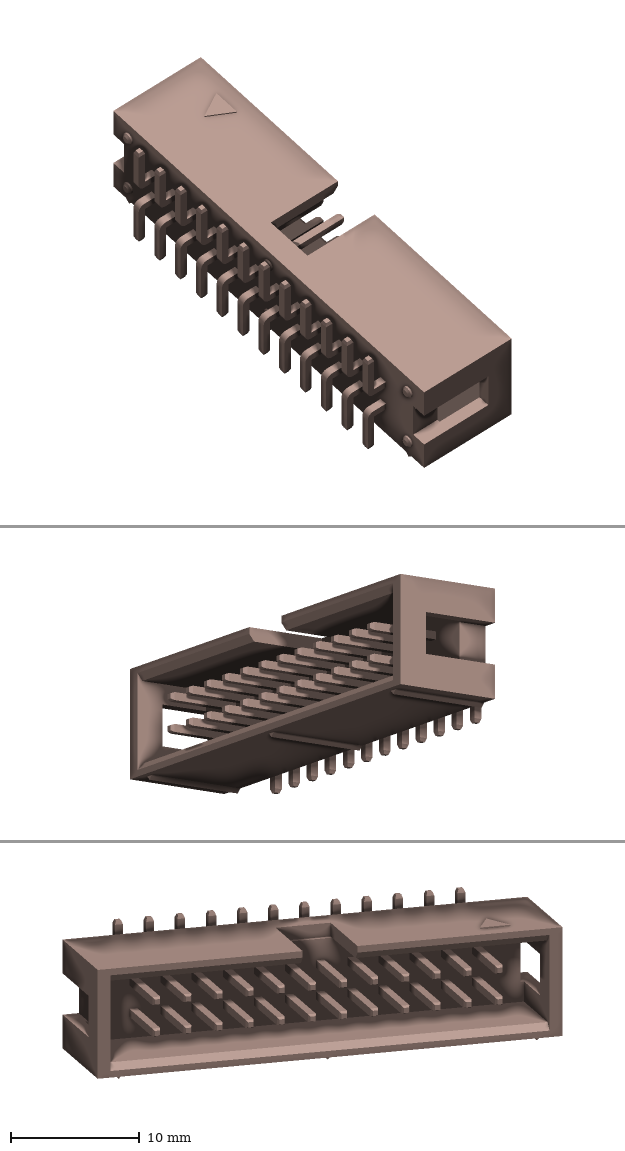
import cadquery as cq

LENGTH = 37.98
DEPTH = 8.8
HEIGHT = 8.8
END_WALL = 1.05
LONG_WALL = 1.1
FLOOR = 2.43
LEAD_IN_DEPTH = 0.45
LEAD_IN_RISE = 0.57

KEY_WIDTH = 4.5
KEY_UNDERCUT = 0.38
END_SLOT_HEIGHT = 3.35
END_SLOT_DEPTH = 1.33
END_SLOT_SETBACK = 2.35

PIN_COUNT = 12
PITCH = 2.55
PIN_SIZE = 0.65
PIN_TIP_LENGTH = 0.3
PIN_TIP_SIZE = 0.4
PIN_RECESS = 0.35
BEND_RADIUS = 0.6
LEG_REACH = 1.82
LEG_SPAN = 10.3

SUPPORT_SPACING = 17.1
PEG_Z = 2.9
PEG_DIAMETER = 1.0
PEG_HEIGHT = 0.35
PEG_CHAMFER = 0.2
RIB_WIDTH = 0.7
RIB_HEIGHT = 0.35
RIB_SETBACK = 0.57

MARK_WIDTH = 2.5
MARK_LENGTH = 2.25
MARK_SETBACK = 1.52
MARK_HEIGHT = 0.1

MOUTH_Y = DEPTH / 2
FRONT_Y = -DEPTH / 2
TOP_Z = HEIGHT / 2
CAVITY_DEPTH = DEPTH - FLOOR
CAVITY_HALF_HEIGHT = TOP_Z - LONG_WALL
FIRST_PIN_X = -(PIN_COUNT - 1) * PITCH / 2
SUPPORT_XS = (-SUPPORT_SPACING, 0, SUPPORT_SPACING)


def block(x_min, x_max, y_min, y_max, z_min, z_max):
    """Box between the given limits."""
    size = (x_max - x_min, y_max - y_min, z_max - z_min)
    return cq.Workplane("XY").box(*size, centered=False).translate((x_min, y_min, z_min))


def make_cavity():
    """Mating cavity with a lead-in chamfer along both long walls."""
    cavity_length = LENGTH - 2 * END_WALL
    floor_y = MOUTH_Y - CAVITY_DEPTH
    lead_in_y = MOUTH_Y - LEAD_IN_DEPTH
    mouth_half_height = CAVITY_HALF_HEIGHT + LEAD_IN_RISE
    profile = [
        (floor_y, -CAVITY_HALF_HEIGHT),
        (lead_in_y, -CAVITY_HALF_HEIGHT),
        (MOUTH_Y, -mouth_half_height),
        (MOUTH_Y, mouth_half_height),
        (lead_in_y, CAVITY_HALF_HEIGHT),
        (floor_y, CAVITY_HALF_HEIGHT),
    ]
    return cq.Workplane("YZ").polyline(profile).close().extrude(cavity_length / 2, both=True)


def make_housing():
    """Open box with a key slot in the top wall and a slot in each end."""
    housing = cq.Workplane("XY").box(LENGTH, DEPTH, HEIGHT).cut(make_cavity())
    key_y = MOUTH_Y - CAVITY_DEPTH - KEY_UNDERCUT
    key_slot = block(-KEY_WIDTH / 2, KEY_WIDTH / 2, key_y, MOUTH_Y, CAVITY_HALF_HEIGHT, TOP_Z)
    housing = housing.cut(key_slot)
    slot_half = END_SLOT_HEIGHT / 2
    slot_end_y = MOUTH_Y - END_SLOT_SETBACK
    for end_x in (-LENGTH / 2, LENGTH / 2 - END_SLOT_DEPTH):
        slot = block(end_x, end_x + END_SLOT_DEPTH, FRONT_Y, slot_end_y, -slot_half, slot_half)
        housing = housing.cut(slot)
    return housing


def square_bar(start, direction, length):
    """Square bar along a direction, tapered at its far end."""
    shaft_length = length - PIN_TIP_LENGTH
    plane = cq.Plane(origin=start, xDir=(1, 0, 0), normal=direction)
    shaft = cq.Workplane(plane).rect(PIN_SIZE, PIN_SIZE).extrude(shaft_length)
    tip = (
        cq.Workplane(plane)
        .workplane(offset=shaft_length)
        .rect(PIN_SIZE, PIN_SIZE)
        .workplane(offset=PIN_TIP_LENGTH)
        .rect(PIN_TIP_SIZE, PIN_TIP_SIZE)
        .loft(ruled=True)
    )
    return shaft.union(tip)


def make_upper_pin():
    """Pin of the upper row at X = 0, with its leg turned up."""
    row_z = PITCH / 2
    leg_y = FRONT_Y - LEG_REACH + PIN_SIZE / 2
    bend_outer_y = leg_y - PIN_SIZE / 2
    bend_bottom_z = row_z - PIN_SIZE / 2
    contact = square_bar((0, bend_outer_y + PIN_SIZE, row_z), (0, 1, 0),
                         MOUTH_Y - PIN_RECESS - bend_outer_y - PIN_SIZE)
    leg = square_bar((0, leg_y, bend_bottom_z + PIN_SIZE), (0, 0, 1),
                     LEG_SPAN / 2 - bend_bottom_z - PIN_SIZE)
    bend = block(-PIN_SIZE / 2, PIN_SIZE / 2, bend_outer_y, bend_outer_y + PIN_SIZE,
                 bend_bottom_z, bend_bottom_z + PIN_SIZE)
    bend = bend.edges("<Y and <Z").fillet(BEND_RADIUS)
    return contact.union(bend).union(leg)


def make_peg():
    """Standoff on the front face at X = 0, Z = 0."""
    peg = cq.Workplane("XZ", origin=(0, FRONT_Y, 0)).circle(PEG_DIAMETER / 2).extrude(PEG_HEIGHT)
    return peg.faces("<Y").chamfer(PEG_CHAMFER)


def make_rib():
    """V-shaped rib under the housing at X = 0."""
    profile = [
        (-RIB_WIDTH / 2, -TOP_Z),
        (0, -TOP_Z - RIB_HEIGHT),
        (RIB_WIDTH / 2, -TOP_Z),
    ]
    front = cq.Workplane("XZ", origin=(0, MOUTH_Y - RIB_SETBACK, 0))
    return front.polyline(profile).close().extrude(DEPTH - RIB_SETBACK)


def make_pin_one_mark():
    """Raised triangle on the top face, pointing at the first pin."""
    base_y = MOUTH_Y - MARK_SETBACK
    outline = [
        (FIRST_PIN_X - MARK_WIDTH / 2, base_y),
        (FIRST_PIN_X + MARK_WIDTH / 2, base_y),
        (FIRST_PIN_X, base_y - MARK_LENGTH),
    ]
    return cq.Workplane("XY", origin=(0, 0, TOP_Z)).polyline(outline).close().extrude(MARK_HEIGHT)


result = make_housing().union(make_pin_one_mark())

peg = make_peg()
rib = make_rib()
for support_x in SUPPORT_XS:
    result = result.union(rib.translate((support_x, 0, 0)))
    for peg_z in (-PEG_Z, PEG_Z):
        result = result.union(peg.translate((support_x, 0, peg_z)))

upper_pin = make_upper_pin()
lower_pin = upper_pin.mirror("XY")
for index in range(PIN_COUNT):
    pin_x = FIRST_PIN_X + index * PITCH
    result = result.union(upper_pin.translate((pin_x, 0, 0)))
    result = result.union(lower_pin.translate((pin_x, 0, 0)))